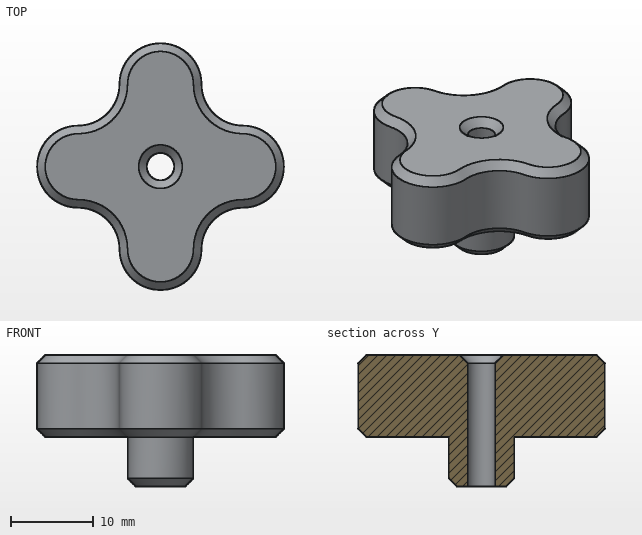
import cadquery as cq
import math

span = 30.0
lobe_count = 4
shank_diameter = 8.0
shank_length = 6.0
hole_diameter = 3.3

lobe_radius = span / 6
lobe_offset = span / 2 - lobe_radius
head_height = span / 3
edge_chamfer = span / 30
countersink_diameter = hole_diameter + 2 * edge_chamfer


def turned(x, y, lobe):
    """Rotate a point from the +X lobe to the given lobe."""
    angle = 2 * math.pi * lobe / lobe_count
    return (
        x * math.cos(angle) - y * math.sin(angle),
        x * math.sin(angle) + y * math.cos(angle),
    )


def make_head():
    """Four-lobed grip with chamfered top and bottom rims, its underside at Z = 0."""
    hollow_middle = lobe_offset - lobe_radius * math.cos(math.pi / 4)
    outline = cq.Workplane("XY").moveTo(lobe_offset, -lobe_radius)
    for lobe in range(lobe_count):
        tip = turned(lobe_offset + lobe_radius, 0, lobe)
        lobe_end = turned(lobe_offset, lobe_radius, lobe)
        hollow = turned(hollow_middle, hollow_middle, lobe)
        next_lobe_start = turned(lobe_offset, -lobe_radius, lobe + 1)
        outline = outline.threePointArc(tip, lobe_end)
        outline = outline.threePointArc(hollow, next_lobe_start)
    return outline.close().extrude(head_height).faces("<Z or >Z").chamfer(edge_chamfer)


def make_shank():
    """Round shank below the head, chamfered at its free end."""
    shank = cq.Workplane("XY").circle(shank_diameter / 2).extrude(-shank_length)
    return shank.faces("<Z").chamfer(edge_chamfer)


knob = make_head().union(make_shank())

result = knob.faces(">Z").workplane(origin=(0, 0, 0)).cskHole(hole_diameter, countersink_diameter, 90)